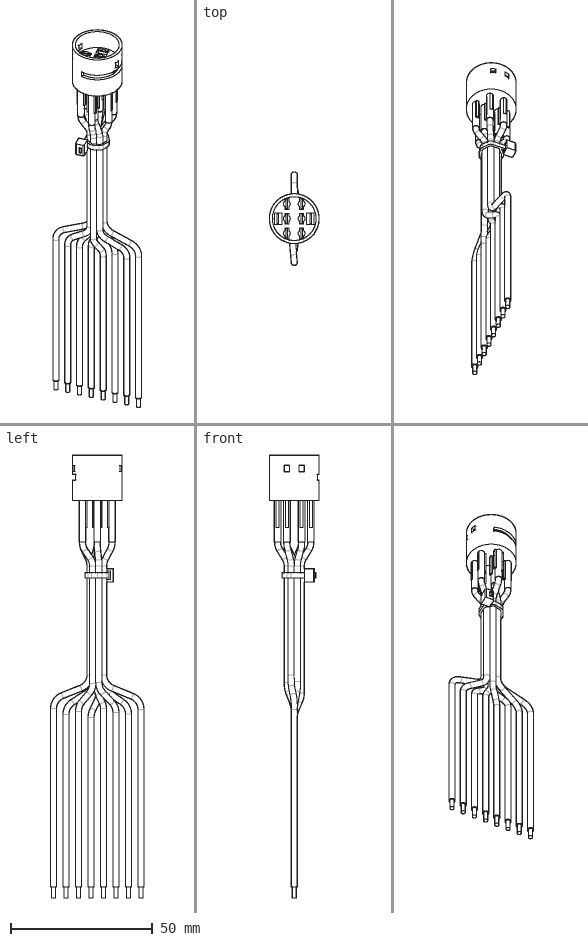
import cadquery as cq
import math

HOUSING_DIA = 17.6
HOUSING_HEIGHT = 16.0
BORE_DIA = 15.4
FLOOR_Z = 9.0
WINDOW_WIDTH = 1.7
WINDOW_BOTTOM_Z = 10.2
WINDOW_HEIGHT = 2.2
SLOT_BOTTOM_Z = 7.2
SLOT_HEIGHT = 2.0
SLOT_START_ANGLE = -20.0
SLOT_SWEEP = 140.0

CONTACT_PITCH = 5.2
COLUMN_X = CONTACT_PITCH / 2
SIDE_CONTACT_X = 5.85
CONTACT_HOLE_DIA = 2.4
CONTACT_HOLE_DEPTH = 3.0
CRIMP_WIDTH = 1.0
CRIMP_REACH = 1.65
CRIMP_BOTTOM_Z = -9.5
BLADE_THICKNESS = 0.5
BLADE_LENGTH = 2 * CRIMP_REACH
BLADE_SLOT_WIDTH = 1.4
BLADE_SLOT_LENGTH = 3.8
SIDE_POCKET_SIZE = (2.6, 4.0)
SIDE_POCKET_X = 5.6

WIRE_DIA = 2.2
SLEEVE_DIA = 2.4
SLEEVE_LENGTH = 14.6
TIP_DIA = 1.5
TIP_LENGTH = 4.0
WIRE_END_Z = -140.0
BEND_RADIUS = 5.0
GATHER_TOP_Z = -16.1
GATHER_BOTTOM_Z = -21.6
FAN_PITCH = 2 * WIRE_DIA
WIRE_COUNT = 8
FAN_WIDTH = FAN_PITCH * (WIRE_COUNT - 1)

RING_COUNT = WIRE_COUNT - 1
WIRE_GAP = 0.01
RING_RADIUS = (WIRE_DIA + WIRE_GAP) / (2 * math.sin(math.pi / RING_COUNT))

TIE_Z = -26.35
TIE_WIDTH = 2.0
TIE_THICKNESS = 0.75
HEAD_X = (3.6, 7.2)
HEAD_Y = (-5.7, -2.4)
HEAD_HEIGHT = 4.7
HEAD_CHAMFER = 0.4
TAIL_END_X = 7.6
TAIL_RING_INDEX = 4
ENTRY_WIDTH = 1.8
ENTRY_HEIGHT = 3.0
ENTRY_DEPTH = 0.8


def ring_position(index):
    """Centre of a ring wire, counted counterclockwise from the one at +Y."""
    angle = math.radians(90 + index * 360 / RING_COUNT)
    return (RING_RADIUS * math.cos(angle), RING_RADIUS * math.sin(angle))


WIRES = [
    ((COLUMN_X, CONTACT_PITCH), ring_position(0), 7, -64.8, -69.9),
    ((-COLUMN_X, CONTACT_PITCH), ring_position(1), 5, -66.4, -72.3),
    ((-SIDE_CONTACT_X, 0), ring_position(2), 2, -66.2, -72.6),
    ((-COLUMN_X, -CONTACT_PITCH), ring_position(3), 0, -64.8, -70.2),
    ((COLUMN_X, -CONTACT_PITCH), ring_position(4), 1, -66.4, -72.5),
    ((SIDE_CONTACT_X, 0), ring_position(5), 4, -69.2, -75.0),
    ((COLUMN_X, 0), ring_position(6), 6, -66.4, -72.5),
    ((-COLUMN_X, 0), (0, 0), 3, -67.2, -72.2),
]


def box(x_range, y_range, z_range):
    """Block spanning the given X, Y and Z ranges."""
    size = [high - low for low, high in (x_range, y_range, z_range)]
    corner = (x_range[0], y_range[0], z_range[0])
    return cq.Workplane("XY").box(*size, centered=False).translate(corner)


def cylinder(diameter, bottom_z, height, position=(0, 0)):
    """Upright cylinder."""
    base = cq.Workplane("XY", origin=(*position, bottom_z))
    return base.circle(diameter / 2).extrude(height)


def make_slot():
    """Partial ring that opens the housing wall between the +X and +Y sides."""
    profile = (
        cq.Workplane("XZ")
        .moveTo(BORE_DIA / 2, SLOT_BOTTOM_Z)
        .rect(HOUSING_DIA - BORE_DIA, SLOT_HEIGHT, centered=False)
    )
    slot = profile.revolve(SLOT_SWEEP, (0, 0, 0), (0, -1, 0))
    return slot.rotate((0, 0, 0), (0, 0, 1), SLOT_START_ANGLE + SLOT_SWEEP)


def floor_pocket(position, size):
    """Rectangular block that sinks a pocket as deep as the contact holes into the floor."""
    base = cq.Workplane("XY", origin=(*position, FLOOR_Z))
    return base.rect(*size).extrude(-CONTACT_HOLE_DEPTH)


def make_housing():
    """Cup with windows, a wall slot and contact holes in its floor."""
    housing = cylinder(HOUSING_DIA, 0, HOUSING_HEIGHT)
    housing = housing.cut(cylinder(BORE_DIA, FLOOR_Z, HOUSING_HEIGHT - FLOOR_Z))
    window_z = (WINDOW_BOTTOM_Z, WINDOW_BOTTOM_Z + WINDOW_HEIGHT)
    for x in (-COLUMN_X, COLUMN_X):
        window_x = (x - WINDOW_WIDTH / 2, x + WINDOW_WIDTH / 2)
        housing = housing.cut(box(window_x, (-HOUSING_DIA, HOUSING_DIA), window_z))
    housing = housing.cut(make_slot())
    hole_z = FLOOR_Z - CONTACT_HOLE_DEPTH
    for contact, *_ in WIRES:
        housing = housing.cut(cylinder(CONTACT_HOLE_DIA, hole_z, CONTACT_HOLE_DEPTH, contact))
        housing = housing.cut(floor_pocket(contact, (BLADE_SLOT_WIDTH, BLADE_SLOT_LENGTH)))
    for x in (-SIDE_POCKET_X, SIDE_POCKET_X):
        housing = housing.cut(floor_pocket((x, 0), SIDE_POCKET_SIZE))
    return housing


def make_contact(contact):
    """Blade standing in its floor slot, and a crimp below that juts out of the wire sleeve.

    The outer rows jut only towards the middle row, which itself juts both ways.
    """
    x, y = contact
    low_reach = SLEEVE_DIA / 2 if y < 0 else CRIMP_REACH
    high_reach = SLEEVE_DIA / 2 if y > 0 else CRIMP_REACH
    crimp_x = (x - CRIMP_WIDTH / 2, x + CRIMP_WIDTH / 2)
    crimp = box(crimp_x, (y - low_reach, y + high_reach), (CRIMP_BOTTOM_Z, 0))
    blade_x = (x - BLADE_THICKNESS / 2, x + BLADE_THICKNESS / 2)
    blade_y = (y - BLADE_LENGTH / 2, y + BLADE_LENGTH / 2)
    return crimp.union(box(blade_x, blade_y, (0, FLOOR_Z)))


def rounded_path(corners):
    """Polyline through the corners, with an arc of the bend radius at each one."""
    points = [cq.Vector(*corner) for corner in corners]
    edges = []
    start = points[0]
    for before, corner, after in zip(points, points[1:], points[2:]):
        back = (before - corner).normalized()
        ahead = (after - corner).normalized()
        half_turn = (math.pi - back.getAngle(ahead)) / 2
        tangent_length = BEND_RADIUS * math.tan(half_turn)
        arc_start = corner + back * tangent_length
        arc_end = corner + ahead * tangent_length
        sagitta_offset = BEND_RADIUS / math.cos(half_turn) - BEND_RADIUS
        arc_middle = corner + (back + ahead).normalized() * sagitta_offset
        edges.append(cq.Edge.makeLine(start, arc_start))
        edges.append(cq.Edge.makeThreePointArc(arc_start, arc_middle, arc_end))
        start = arc_end
    edges.append(cq.Edge.makeLine(start, points[-1]))
    return cq.Wire.assembleEdges(edges)


def make_wire(contact, bundle, fan_index, leave_z, join_z):
    """Insulated wire from its contact through the bundle to its bare tip."""
    fan = (0, fan_index * FAN_PITCH - FAN_WIDTH / 2)
    path = rounded_path([
        (*contact, 0),
        (*contact, GATHER_TOP_Z),
        (*bundle, GATHER_BOTTOM_Z),
        (*bundle, leave_z),
        (*fan, join_z),
        (*fan, WIRE_END_Z + TIP_LENGTH),
    ])
    section = cq.Workplane("XY", origin=(*contact, 0)).circle(WIRE_DIA / 2)
    wire = section.sweep(cq.Workplane(path))
    wire = wire.union(cylinder(SLEEVE_DIA, -SLEEVE_LENGTH, SLEEVE_LENGTH, contact))
    return wire.union(cylinder(TIP_DIA, WIRE_END_Z, TIP_LENGTH, fan))


def bundle_envelope(margin, bottom_z):
    """Slice as wide as the tie, its outline kept a margin outside the ring wire centres."""
    ring = [ring_position(index) for index in range(RING_COUNT)]
    outline = cq.Workplane("XY", origin=(0, 0, bottom_z)).polyline(ring).close()
    return outline.offset2D(margin).extrude(TIE_WIDTH)


def make_tie():
    """Cable tie: a band around the bundle and a head on its +X, -Y corner."""
    band_bottom = TIE_Z - TIE_WIDTH / 2
    band_top = TIE_Z + TIE_WIDTH / 2
    inside = bundle_envelope(WIRE_DIA / 2, band_bottom)
    band = bundle_envelope(WIRE_DIA / 2 + TIE_THICKNESS, band_bottom).cut(inside)

    tail_x, front_y = ring_position(TAIL_RING_INDEX)
    tail_high_y = front_y - WIRE_DIA / 2
    tail_y = (tail_high_y - TIE_THICKNESS, tail_high_y)
    tail = box((tail_x, TAIL_END_X), tail_y, (band_bottom, band_top))

    head = box(HEAD_X, HEAD_Y, (TIE_Z - HEAD_HEIGHT / 2, TIE_Z + HEAD_HEIGHT / 2))
    head = head.edges("|Z and >X").chamfer(HEAD_CHAMFER)
    entry_y = tail_high_y - TIE_THICKNESS / 2
    entry = box(
        (HEAD_X[0], HEAD_X[0] + ENTRY_DEPTH),
        (entry_y - ENTRY_WIDTH / 2, entry_y + ENTRY_WIDTH / 2),
        (TIE_Z - ENTRY_HEIGHT / 2, TIE_Z + ENTRY_HEIGHT / 2),
    )
    return head.cut(entry).union(band).union(tail)


result = make_housing()
for wire_data in WIRES:
    result = result.union(make_wire(*wire_data))
    result = result.union(make_contact(wire_data[0]))
result = result.union(make_tie())